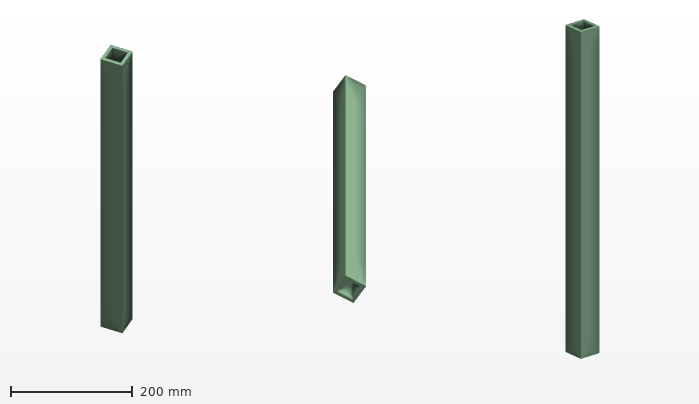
import cadquery as cq

length = 580.0
side = 40.0
wall = 6.0
bore = side - 2 * wall

outer = cq.Workplane("XY").rect(side, side).extrude(length)
opening = cq.Workplane("XY").rect(bore, bore).extrude(length)

result = outer.cut(opening)